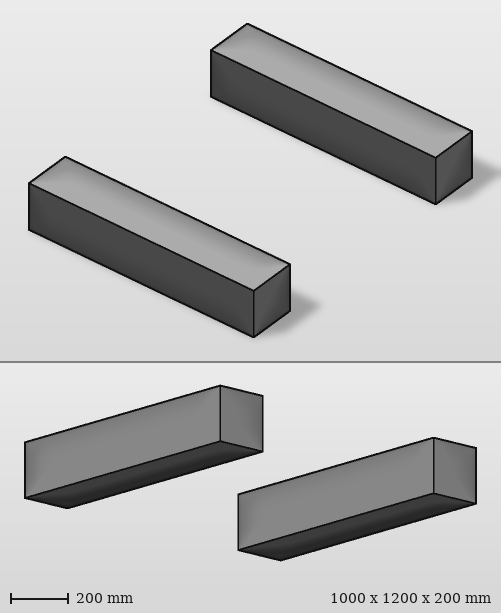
import cadquery as cq

overall_width = 1200.0
beam_side = overall_width / 6
beam_length = 5 * beam_side
beam_spacing = overall_width - beam_side


def make_beam(center_y):
    """Plain square beam lying along X, centred on the given Y position."""
    return cq.Workplane("XY").box(beam_length, beam_side, beam_side).translate((0, center_y, 0))


beams = [make_beam(side * beam_spacing / 2) for side in (-1, 1)]

result = cq.Compound.makeCompound([beam.val() for beam in beams])